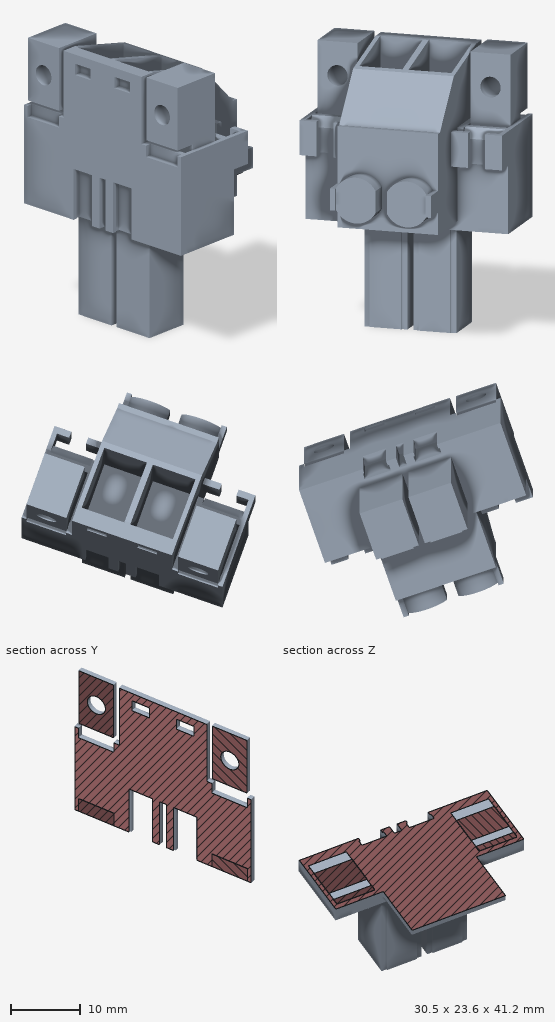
import cadquery as cq


SIDES = (-1, 1)
TOTAL_WIDTH = 30.5
HALF_WIDTH = TOTAL_WIDTH / 2
TOTAL_HEIGHT = 41.2
BASE_BOTTOM = 15.57
BASE_TOP = 30.75
SIDE_WALL = 0.7
BACK_WALL = 0.95
BASE_DEPTH = 11.3
LIP_BOTTOM = 25.63
LIP_BACK = 14.17
LIP_LENGTH = 2.55

TOWER_WIDTH = 15.15
TOWER_BOTTOM = 16.95
TOWER_BACK = 20.2
TOWER_TOP = 41.08
TOWER_TOP_DEPTH = 2.5
TOWER_BREAK_Y = 12.9
TOWER_BREAK_Z = 38.65
TOWER_LEDGE_DEPTH = 0.82
TOWER_LEDGE_Z = 31.8

FLANGE_WIDTH = 6.05
FLANGE_X = HALF_WIDTH - SIDE_WALL - FLANGE_WIDTH / 2
FRONT_WALL = 1.7
HEAD_FRONT = 0.1
HEAD_BOTTOM = 31.55
STEM_FRONT = 3.35
STEM_BACK = 8.0
FOOT_TOP = 17.85
ARM_FRONT = 9.3
ARM_BACK = BASE_DEPTH - BACK_WALL
BARB_BACK = 11.65
BARB_RISE = 1.45
FLANGE_HOLE_DIAMETER = 3.05
FLANGE_HOLE_Z = 36.2
NOTCH_BOTTOM = 29.0
NOTCH_DEPTH = 0.9

POCKET_WIDTH = 6.45
POLE_GAP = 0.9
POCKET_X = (POLE_GAP + POCKET_WIDTH) / 2
POCKET_FRONT = 2.25
POCKET_BACK = 12.0
POCKET_FLOOR = 26.8
POLE_X = 3.85
WINDOW_WIDTH = 2.95
WINDOW_BOTTOM = 37.95
WINDOW_TOP = 39.68
WINDOW_DEPTH = 1.1
SLOT_WIDTH = 3.55
SLOT_INNER_WIDTH = 3.95
SLOT_MOUTH_DEPTH = 0.6
SLOT_DEPTH = 1.5
SLOT_TOP = 23.4
CENTRE_SLOT_WIDTH = 1.15

SCREW_WIDTH = 5.95
SCREW_DIAMETER = 6.75
SCREW_Z = 21.85
SCREW_BACK = 23.2
EAR_WIDTH = TOWER_WIDTH / 2 - POLE_X - SCREW_WIDTH / 2
EAR_HEIGHT = 3.2
EAR_BACK = 23.6

CONTACT_FRONT = 2.45
CONTACT_BACK = 9.8
PAD_HEIGHT = 0.15
PAD_INSET = 0.82


def block_at(x_centre, width, y_min, y_max, z_min, z_max):
    """Box centred on x_centre, given by its limits along Y and Z."""
    return (
        cq.Workplane("XY")
        .box(width, y_max - y_min, z_max - z_min)
        .translate((x_centre, (y_min + y_max) / 2, (z_min + z_max) / 2))
    )


def side_profile(points, x_centre, width):
    """Extrude a closed (y, z) outline along X, centred on x_centre."""
    return (
        cq.Workplane("YZ")
        .polyline(points)
        .close()
        .extrude(width / 2, both=True)
        .translate((x_centre, 0, 0))
    )


def make_tower():
    outline = [
        (0, TOWER_BOTTOM),
        (TOWER_BACK, TOWER_BOTTOM),
        (TOWER_BACK, TOWER_LEDGE_Z),
        (TOWER_BACK - TOWER_LEDGE_DEPTH, TOWER_LEDGE_Z),
        (TOWER_BREAK_Y, TOWER_BREAK_Z),
        (TOWER_TOP_DEPTH, TOWER_TOP),
        (0, TOWER_TOP),
    ]
    return side_profile(outline, 0, TOWER_WIDTH)


def make_side_wall(side):
    """Outer side wall with its step at the back."""
    outline = [
        (0, BASE_BOTTOM),
        (BASE_DEPTH, BASE_BOTTOM),
        (BASE_DEPTH, LIP_BOTTOM),
        (LIP_BACK, LIP_BOTTOM),
        (LIP_BACK, BASE_TOP),
        (0, BASE_TOP),
    ]
    return side_profile(outline, side * (HALF_WIDTH - SIDE_WALL / 2), SIDE_WALL)


def make_lips(side):
    """Two lips with a slit between them, one on the side wall and one on the tower."""
    lip_front = LIP_BACK - BACK_WALL
    centres = (HALF_WIDTH - LIP_LENGTH / 2, TOWER_WIDTH / 2 + LIP_LENGTH / 2)
    outer, inner = [
        block_at(side * x, LIP_LENGTH, lip_front, LIP_BACK, LIP_BOTTOM, BASE_TOP)
        for x in centres
    ]
    return outer.union(inner)


def make_flange_space(side):
    """Cavity open at top and bottom, its openings for barb and foot, and the notch in the front wall."""
    x = side * FLANGE_X
    cavity = block_at(x, FLANGE_WIDTH, FRONT_WALL, ARM_BACK, BASE_BOTTOM, BASE_TOP)
    barb_opening = block_at(x, FLANGE_WIDTH, ARM_BACK, BASE_DEPTH, LIP_BOTTOM, BASE_TOP)
    foot_opening = block_at(x, FLANGE_WIDTH, 0, FRONT_WALL, BASE_BOTTOM, FOOT_TOP)
    notch = block_at(x, FLANGE_WIDTH, 0, NOTCH_DEPTH, NOTCH_BOTTOM, BASE_TOP)
    return cavity.union(barb_opening).union(foot_opening).union(notch)


def make_wire_entry(side):
    x = side * POCKET_X
    return block_at(x, POCKET_WIDTH, POCKET_FRONT, POCKET_BACK, POCKET_FLOOR, TOTAL_HEIGHT)


def make_window(side):
    """Shallow blind window in the front of the tower."""
    return block_at(side * POLE_X, WINDOW_WIDTH, 0, WINDOW_DEPTH, WINDOW_BOTTOM, WINDOW_TOP)


def make_slot(side):
    """Slot in the front wall, open at the bottom and wider behind its mouth."""
    x = side * POLE_X
    mouth = block_at(x, SLOT_WIDTH, 0, SLOT_MOUTH_DEPTH, BASE_BOTTOM, SLOT_TOP)
    inside = block_at(x, SLOT_INNER_WIDTH, SLOT_MOUTH_DEPTH, SLOT_DEPTH, BASE_BOTTOM, SLOT_TOP)
    return mouth.union(inside)


def make_ear(side):
    """Guard ear beside the screw, flush with the side of the tower."""
    x = side * (TOWER_WIDTH - EAR_WIDTH) / 2
    bottom = SCREW_Z - EAR_HEIGHT / 2
    return block_at(x, EAR_WIDTH, TOWER_BACK, EAR_BACK, bottom, bottom + EAR_HEIGHT)


def make_housing():
    base = block_at(0, TOTAL_WIDTH, 0, BASE_DEPTH, BASE_BOTTOM, BASE_TOP)
    centre_slot = block_at(0, CENTRE_SLOT_WIDTH, 0, SLOT_DEPTH, BASE_BOTTOM, SLOT_TOP)
    housing = base.union(make_tower()).cut(centre_slot)
    for side in SIDES:
        housing = housing.cut(make_flange_space(side))
        housing = housing.union(make_side_wall(side)).union(make_lips(side)).union(make_ear(side))
        housing = housing.cut(make_wire_entry(side)).cut(make_window(side)).cut(make_slot(side))
    return housing


def make_flange(side):
    """Screw block on a stem, with a foot under the front wall and a spring arm at the back."""
    outline = [
        (0, BASE_BOTTOM),
        (ARM_BACK, BASE_BOTTOM),
        (ARM_BACK, LIP_BOTTOM),
        (BARB_BACK, LIP_BOTTOM),
        (BARB_BACK, BASE_TOP - BARB_RISE),
        (ARM_BACK, BASE_TOP),
        (ARM_FRONT, BASE_TOP),
        (ARM_FRONT, FOOT_TOP),
        (STEM_BACK, FOOT_TOP),
        (STEM_BACK, TOTAL_HEIGHT),
        (HEAD_FRONT, TOTAL_HEIGHT),
        (HEAD_FRONT, HEAD_BOTTOM),
        (STEM_FRONT, HEAD_BOTTOM),
        (STEM_FRONT, FOOT_TOP),
        (0, FOOT_TOP),
    ]
    hole = (
        cq.Workplane("XZ")
        .center(side * FLANGE_X, FLANGE_HOLE_Z)
        .circle(FLANGE_HOLE_DIAMETER / 2)
        .extrude(-STEM_BACK)
    )
    return side_profile(outline, side * FLANGE_X, FLANGE_WIDTH).cut(hole)


def make_screw(side):
    """Round screw head on the back of the tower, with a flat on either side."""
    head = (
        cq.Workplane("XZ", origin=(0, TOWER_BACK, 0))
        .center(side * POLE_X, SCREW_Z)
        .circle(SCREW_DIAMETER / 2)
        .extrude(TOWER_BACK - SCREW_BACK)
    )
    between_flats = block_at(side * POLE_X, SCREW_WIDTH, TOWER_BACK, SCREW_BACK, 0, TOTAL_HEIGHT)
    return head.intersect(between_flats)


def make_contact(side):
    """Contact plug under the housing, with a low raised pad on its back."""
    x = side * POCKET_X
    pad_base = CONTACT_BACK - PAD_HEIGHT
    plug = block_at(x, POCKET_WIDTH, CONTACT_FRONT, pad_base, 0, BASE_BOTTOM)
    pad = block_at(x, POCKET_WIDTH - 2 * PAD_INSET, pad_base, CONTACT_BACK, 0, BASE_BOTTOM)
    return plug.union(pad)


housing = make_housing()
flanges = [make_flange(side) for side in SIDES]
screws = [make_screw(side) for side in SIDES]
contacts = [make_contact(side) for side in SIDES]

result = cq.Compound.makeCompound(
    [body.val() for body in [housing, *flanges, *screws, *contacts]]
)